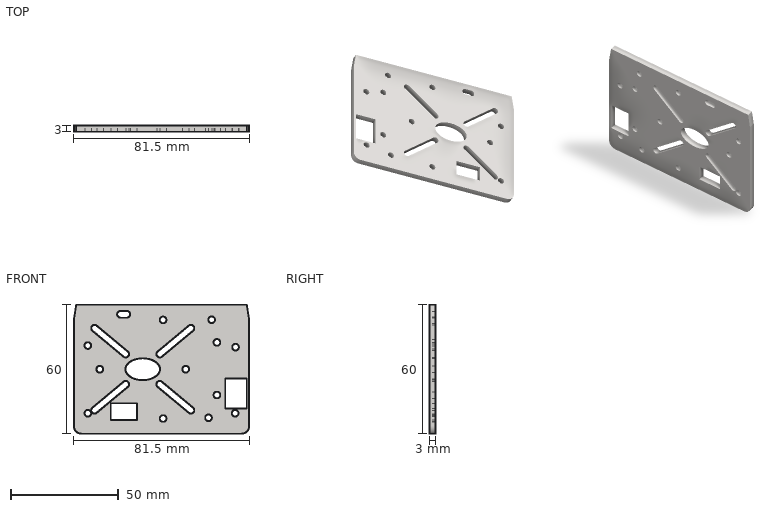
import cadquery as cq
import math

width = 81.5
height = 60.0
thickness = 3.0
corner_radius = 3.5
taper_inset = 1.1
taper_height = 6.9

hole_diameter = 3.0

pattern_x = -8.7
ellipse_length = 16.0
ellipse_height = 10.0
pattern_hole_offset = 20.0
slot_inner_x = 7.9
slot_inner_z = 7.0
slot_outer_x = 22.4
slot_outer_z = 19.1

top_slot_length = 5.95
top_slot_center = (-17.6, 25.5)

side_window_center = (34.6, -11.25)
side_window_size = (9.95, 13.85)
lower_window_center = (-17.5, -19.7)
lower_window_size = (12.1, 7.7)

middle_hole_x = 0.7
middle_hole_z = 22.9
lower_hole_x = 34.2
lower_hole_z = -20.45
inner_right_x = 25.75
hole_centers = [
    (pattern_x - pattern_hole_offset, 0),
    (pattern_x + pattern_hole_offset, 0),
    (middle_hole_x, middle_hole_z),
    (middle_hole_x, -middle_hole_z),
    (-lower_hole_x, lower_hole_z),
    (lower_hole_x, lower_hole_z),
    (inner_right_x, 12.5),
    (inner_right_x, -12.0),
    (-lower_hole_x, 11.0),
    (34.4, 10.3),
    (23.3, 23.0),
    (21.85, -22.6),
]


def extrude_through(sketch):
    """Extrude a back-face sketch towards -Y through the full thickness."""
    return sketch.extrude(thickness)


def back_face():
    """Start a sketch on the +Y face of the plate."""
    return cq.Workplane("XZ", origin=(0, thickness / 2, 0))


def at(center):
    """Start a sketch on the +Y face at the given X and Z centre."""
    return back_face().center(*center)


def make_plate():
    """Plate outline with tapered upper sides and rounded lower corners."""
    side = width / 2
    top = height / 2
    outline = back_face().polyline([
        (-side, -top),
        (side, -top),
        (side, top - taper_height),
        (side - taper_inset, top),
        (taper_inset - side, top),
        (-side, top - taper_height),
    ]).close()
    return extrude_through(outline).edges("|Y and <Z").fillet(corner_radius)


def diagonal_slot(x_side, z_side):
    """Slot running outward from the ellipse into one quadrant."""
    run = slot_outer_x - slot_inner_x
    rise = slot_outer_z - slot_inner_z
    length = math.hypot(run, rise) + hole_diameter
    angle = math.degrees(math.atan2(z_side * rise, x_side * run))
    center = (
        pattern_x + x_side * (slot_inner_x + slot_outer_x) / 2,
        z_side * (slot_inner_z + slot_outer_z) / 2,
    )
    return extrude_through(at(center).slot2D(length, hole_diameter, angle))


result = make_plate()
result = result.cut(extrude_through(
    back_face().pushPoints(hole_centers).circle(hole_diameter / 2)))
result = result.cut(extrude_through(
    at((pattern_x, 0)).ellipse(ellipse_length / 2, ellipse_height / 2)))
for x_side in (-1, 1):
    for z_side in (-1, 1):
        result = result.cut(diagonal_slot(x_side, z_side))
result = result.cut(extrude_through(at(top_slot_center).slot2D(top_slot_length, hole_diameter)))
result = result.cut(extrude_through(at(side_window_center).rect(*side_window_size)))
result = result.cut(extrude_through(at(lower_window_center).rect(*lower_window_size)))